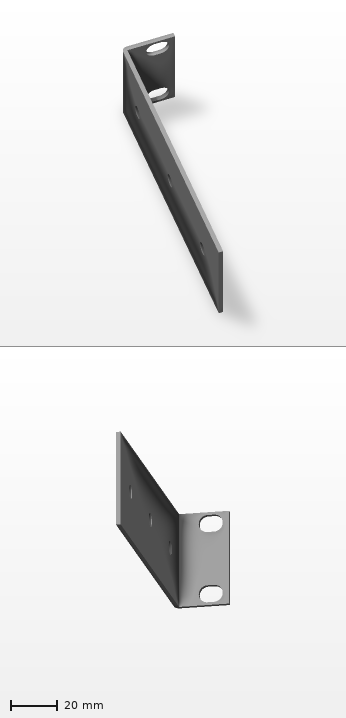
import cadquery as cq

length = 120.0
depth = 24.0
height = 42.0
thickness = 2.0
inner_radius = 0.2
outer_radius = inner_radius + thickness

hole_diameter = 6.0
hole_pitch = 40.0
hole_count = 3
first_hole_x = 20.0

slot_length = 10.5
slot_width = 7.7
slot_spacing = 31.8
slot_y = 16.0


def bent_sheet():
    """L-shaped sheet with a rounded bend, centred on Z = 0."""
    profile = (
        cq.Workplane("XY")
        .moveTo(outer_radius, 0)
        .lineTo(length, 0)
        .lineTo(length, thickness)
        .lineTo(outer_radius, thickness)
        .radiusArc((thickness, outer_radius), inner_radius)
        .lineTo(thickness, depth)
        .lineTo(0, depth)
        .lineTo(0, outer_radius)
        .radiusArc((outer_radius, 0), -outer_radius)
        .close()
    )
    return profile.extrude(height / 2, both=True)


def plate_holes():
    centres = [(first_hole_x + i * hole_pitch, 0) for i in range(hole_count)]
    return (
        cq.Workplane("XZ")
        .pushPoints(centres)
        .circle(hole_diameter / 2)
        .extrude(-thickness)
    )


def flange_slots():
    centres = [(slot_y, side * slot_spacing / 2) for side in (-1, 1)]
    return (
        cq.Workplane("YZ")
        .pushPoints(centres)
        .slot2D(slot_length, slot_width)
        .extrude(thickness)
    )


result = bent_sheet().cut(plate_holes()).cut(flange_slots())